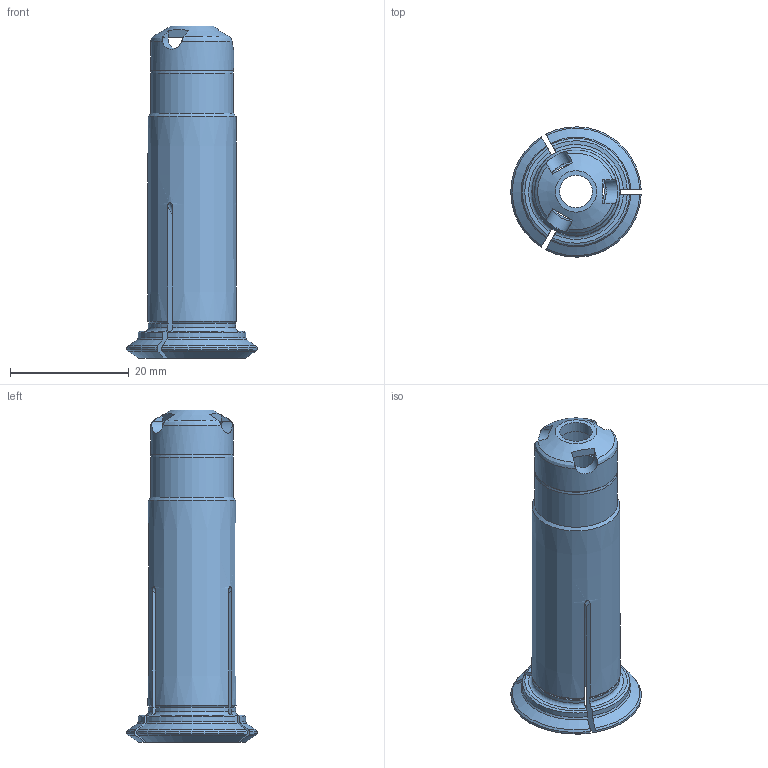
import cadquery as cq
import math

height = 56.0
base_radius = 9.05

flange_radius = 11.0
flange_rim_radius = 10.75
rim_bottom_z = 1.15
rim_side_bottom_z = 1.35
rim_side_top_z = 1.7
rim_top_z = 2.05

ring_radius = 9.05
ring_foot_radius = 9.25
ring_foot_z = 3.05
ring_bottom_z = 3.4
ring_chamfer_width = 0.4
ring_chamfer_height = 0.2
ring_top_z = 4.5

neck_radius = 7.35
neck_fillet = 0.65
groove_radius = 7.25
groove_bottom_z = 5.75
groove_top_z = 5.9

body_bottom_radius = 7.455
body_bottom_z = 6.2
body_top_radius = 7.42
body_top_z = 40.75

head_radius = 7.0
head_bottom_z = 41.25
seam_radius = 6.9
seam_bottom_z = 48.0
cap_bottom_z = 48.5

nose_fillet = 1.05
nose_shoulder_z = 54.0
nose_radius = 3.5

lower_bore_radius = 10.2 / 2
lower_bore_top_z = body_top_z
land_radius = 9.53 / 2
chamber_radius = lower_bore_radius
chamber_bottom_z = seam_bottom_z
chamber_top_z = 54.1
nose_hole_radius = 5.5 / 2

cut_count = 3
slot_width = 0.9
slot_top_z = 26.2
slot_end_angle = 45.0
notch_width = 4.0
notch_inner_radius = 4.5
notch_center_z = 54.1
cut_reach = flange_radius + 1.0


def make_body():
    """Revolve the outer outline into a solid sleeve blank."""
    outline = (
        cq.Workplane("XZ")
        .moveTo(0, 0)
        .lineTo(base_radius, 0)
        .lineTo(flange_rim_radius, rim_bottom_z)
        .lineTo(flange_radius, rim_side_bottom_z)
        .lineTo(flange_radius, rim_side_top_z)
        .lineTo(flange_rim_radius, rim_top_z)
        .lineTo(ring_foot_radius, ring_foot_z)
        .lineTo(ring_radius, ring_bottom_z)
        .lineTo(ring_radius, ring_top_z - ring_chamfer_height)
        .lineTo(ring_radius - ring_chamfer_width, ring_top_z)
        .lineTo(neck_radius + neck_fillet, ring_top_z)
        .radiusArc((neck_radius, ring_top_z + neck_fillet), neck_fillet)
        .lineTo(neck_radius, groove_bottom_z)
        .lineTo(groove_radius, groove_top_z)
        .lineTo(body_bottom_radius, body_bottom_z)
        .lineTo(body_top_radius, body_top_z)
        .lineTo(head_radius, head_bottom_z)
        .lineTo(head_radius, seam_bottom_z)
        .lineTo(seam_radius, cap_bottom_z)
        .lineTo(head_radius, cap_bottom_z)
        .lineTo(head_radius, nose_shoulder_z)
        .lineTo(nose_radius, height)
        .lineTo(0, height)
        .close()
    )
    blank = outline.revolve(360, (0, 0, 0), (0, 1, 0))
    nose_shoulder = cq.selectors.BoxSelector(
        (-flange_radius, -flange_radius, nose_shoulder_z - nose_fillet),
        (flange_radius, flange_radius, nose_shoulder_z + nose_fillet),
    )
    return blank.edges("%CIRCLE").edges(nose_shoulder).fillet(nose_fillet)


def cylinder(radius, bottom_z, top_z):
    """Cylinder on the sleeve axis between two heights."""
    return cq.Workplane("XY").workplane(offset=bottom_z).circle(radius).extrude(top_z - bottom_z)


def make_bores():
    """Stepped hollow through the sleeve."""
    bores = cylinder(lower_bore_radius, 0, lower_bore_top_z)
    bores = bores.union(cylinder(land_radius, lower_bore_top_z, chamber_bottom_z))
    bores = bores.union(cylinder(chamber_radius, chamber_bottom_z, chamber_top_z))
    return bores.union(cylinder(nose_hole_radius, chamber_top_z, height))


def make_slot():
    """Radial slit toward +X, open at the bottom, with a round end sloping down toward the axis."""
    half = slot_width / 2
    slope = math.radians(slot_end_angle)
    outer_z = slot_top_z - half / math.cos(slope)
    inner_z = outer_z - body_top_radius * math.tan(slope)
    end_length = cut_reach / math.cos(slope)
    slab = (
        cq.Workplane("XZ")
        .moveTo(0, 0)
        .lineTo(cut_reach, 0)
        .lineTo(cut_reach, inner_z + cut_reach * math.tan(slope))
        .lineTo(0, inner_z)
        .close()
        .extrude(half, both=True)
    )
    end_direction = cq.Vector(math.cos(slope), 0, math.sin(slope))
    round_end = cq.Solid.makeCylinder(half, end_length, cq.Vector(0, 0, inner_z), end_direction)
    return slab.union(cq.Workplane(round_end))


def make_notch():
    """U-shaped notch toward +X, round at the bottom and open at the top."""
    half = notch_width / 2
    return (
        cq.Workplane("YZ")
        .workplane(offset=notch_inner_radius)
        .moveTo(-half, height)
        .lineTo(-half, notch_center_z)
        .threePointArc((0, notch_center_z - half), (half, notch_center_z))
        .lineTo(half, height)
        .close()
        .extrude(cut_reach - notch_inner_radius)
    )


cutters = (make_slot(), make_notch())
result = make_body().cut(make_bores())
for index in range(cut_count):
    angle = index * 360 / cut_count
    for cutter in cutters:
        result = result.cut(cutter.rotate((0, 0, 0), (0, 0, 1), angle))